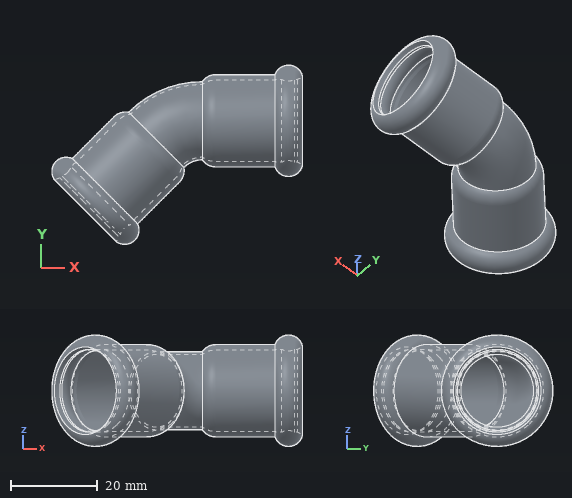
import cadquery as cq
import math

bend_angle = 45
bend_radius = 14.95
bend_diameter = 18.0
bend_bore_diameter = 16.75

socket_length = 23.15
socket_diameter = 21.3
socket_bore_diameter = 18.7
shoulder_length = 3.1
stop_length = 2.85

bead_diameter = 25.7
bead_width = 6.65

mouth_diameter = 20.2
throat_diameter = 19.05
mouth_taper_length = 1.25
seal_start = 1.9
seal_end = 4.9
seal_diameter = 18.3
bore_taper_start = 5.9

bend_outer = bend_diameter / 2
bend_inner = bend_bore_diameter / 2
socket_outer = socket_diameter / 2
socket_bore = socket_bore_diameter / 2
mouth = mouth_diameter / 2
throat = throat_diameter / 2
bead_round = bead_width / 2
bead_center_radius = bead_diameter / 2 - bead_round
shoulder_start = socket_length - shoulder_length
bore_end = socket_length - stop_length


def tangent_arc_middle(start, end):
    """Middle point of an arc that leaves start parallel to the axis and drops to end."""
    length = end[0] - start[0]
    drop = start[1] - end[1]
    radius = (length**2 + drop**2) / (2 * drop)
    half_sweep = math.asin(length / radius) / 2
    return (
        start[0] + radius * math.sin(half_sweep),
        start[1] - radius * (1 - math.cos(half_sweep)),
    )


def revolve_about_axis(profile):
    return profile.close().revolve(360, (0, 0, 0), (1, 0, 0))


def socket_body():
    """Tube with a rounded shoulder at its inner end and a rounded bead at its mouth."""
    shoulder_edge = (shoulder_start, socket_outer)
    shoulder_end = (socket_length, bend_outer)
    tube = revolve_about_axis(
        cq.Workplane("XY")
        .moveTo(bead_round, 0)
        .lineTo(bead_round, socket_outer)
        .lineTo(*shoulder_edge)
        .threePointArc(tangent_arc_middle(shoulder_edge, shoulder_end), shoulder_end)
        .lineTo(socket_length, 0)
    )
    bead = revolve_about_axis(
        cq.Workplane("XY")
        .lineTo(0, bead_center_radius)
        .threePointArc((bead_round, bead_diameter / 2), (bead_width, bead_center_radius))
        .lineTo(bead_width, 0)
    )
    return tube.union(bead)


def socket_cavity():
    """Tapered mouth, inward-bulging seal ring and bore ending in a rounded stop."""
    seal_middle = (seal_start + seal_end) / 2
    stop_edge = (bore_end, socket_bore)
    stop_end = (socket_length, bend_inner)
    return revolve_about_axis(
        cq.Workplane("XY")
        .lineTo(0, mouth)
        .lineTo(mouth_taper_length, throat)
        .lineTo(seal_start, throat)
        .threePointArc((seal_middle, seal_diameter / 2), (seal_end, throat))
        .lineTo(bore_taper_start, throat)
        .lineTo(bead_width, socket_bore)
        .lineTo(*stop_edge)
        .threePointArc(tangent_arc_middle(stop_edge, stop_end), stop_end)
        .lineTo(socket_length, 0)
    )


def bend(radius):
    """Round bar from the origin, leaving toward -X and curving toward -Y."""
    return (
        cq.Workplane("YZ")
        .circle(radius)
        .revolve(bend_angle, (-bend_radius, -0.6, 0), (-bend_radius, 0, 0))
    )


def place_at_both_ends(socket):
    """One socket opens toward +X; its copy opens at the far end of the bend."""
    first = socket.rotate((0, 0, 0), (0, 0, 1), 180).translate((socket_length, 0, 0))
    bend_center = (0, -bend_radius, 0)
    bend_center_top = (0, -bend_radius, 1)
    second = first.mirror("YZ").rotate(bend_center, bend_center_top, bend_angle)
    return first.union(second)


outside = bend(bend_outer).union(place_at_both_ends(socket_body()))
inside = bend(bend_inner).union(place_at_both_ends(socket_cavity()))
result = outside.cut(inside)